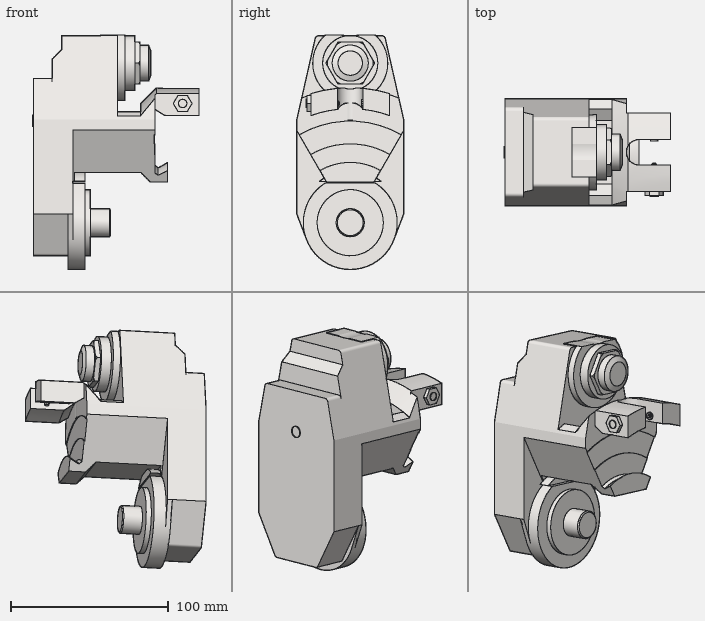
import cadquery as cq
import math


WIDTH = 68.0
HALF_WIDTH = WIDTH / 2
SHOULDER_Z = 95.0
TOP_Z = 148.4
TOP_HALF_WIDTH = 21.9
SHOULDER_SLOPE = (HALF_WIDTH - TOP_HALF_WIDTH) / (TOP_Z - SHOULDER_Z)
CORNER_RADIUS = 2.4
PLATE_TAPER_Z = 35.3
PLATE_BOTTOM_Z = 8.8
PLATE_BOTTOM_HALF_WIDTH = 18.8
UNDERSIDE_SLOPE = (HALF_WIDTH - PLATE_BOTTOM_HALF_WIDTH) / (PLATE_TAPER_Z - PLATE_BOTTOM_Z)

PLATE_FRONT_X = 25.0
PLATE_TAPER_FRONT_X = 21.9
FIRST_STEP_X = 11.9
FIRST_STEP_Z = 121.3
SECOND_STEP_X = 17.9
STEP_CHAMFER_LOW_Z = 133.5
STEP_CHAMFER_HIGH_Z = 139.6
TOWER_FRONT_X = 53.5
WEDGE_X = 68.0
FACE_X = 77.3
HEAD_EDGE_Z = 88.4
HEAD_BOTTOM_Z = 61.5

RIDGE_Y = 27.5
RIDGE_Z = 100.2
RIDGE_OUTER_Y = 34.1
RIDGE_OUTER_Z = 97.0
GAP_FLOOR_HALF_WIDTH = 20.2
GAP_FLOOR_Z = 94.8

SHAFT_Z = 29.8
LOWER_DISC_RADIUS = 29.8
LOWER_DISC_FRONT_X = 32.9
LOWER_DISC_TOP_Z = 55.0
LOWER_FLANGE_DIAMETER = 42.0
LOWER_FLANGE_FRONT_X = 36.2
SHAFT_DIAMETER = 17.9
SHAFT_END_X = 49.0
SHAFT_CHAMFER = 0.7

NECK_BOTTOM_Z = 56.0
NECK_STEP_X = 26.0
NECK_RADIUS = 32.7

WEDGE_RADIUS = 75.6
ARM_OUTER_RADIUS = 85.6
ARM_INNER_RADIUS = 72.3
ARM_UNDERCUT_RADIUS = 75.9
ARM_UNDERCUT_X = 83.4
ARM_HALF_WIDTH = 25.0
ARM_GAP_HALF_WIDTH = 8.0
ARM_END_X = 105.1
HOOK_BOTTOM_Z = 55.5
HOOK_HEEL_X = 68.2
HOOK_TOE_X = 74.1
HOOK_END_X = 85.1
HOOK_TIP_RADIUS = 38.3
HOOK_GROOVE_X = 80.0
HOOK_GROOVE_RADIUS = 35.3
HOOK_ROOT_X = 79.0
HOOK_ROOT_RADIUS = 35.0
HOOK_FACE_RADIUS = 36.5
FACE_RECESS_INNER_RADIUS = 50.0
FACE_RECESS_OUTER_RADIUS = 64.5
FACE_RECESS_DEPTH = 0.5

HEX_SIDES = 6
HEX_FLATS_TO_CORNERS = math.cos(math.pi / HEX_SIDES)

OVERLAP = 1.5

SPINDLE_Z = 131.0
SPINDLE_TOP_Z = 148.8
FLANGE_RADIUS = 23.8
FLANGE_FRONT_X = 58.0
COLLAR_DIAMETER = 35.0
COLLAR_FRONT_X = 64.5
NUT_ACROSS_FLATS = 26.8
NUT_FRONT_X = 67.7
NUT_CORNER_CHAMFER = 0.9
STUD_RADIUS = 11.5
STUD_FRONT_X = 73.1
STUD_TIP_RADIUS = 7.7
STUD_TIP_X = 74.5
PAD_BACK_X = 42.4
PAD_HALF_WIDTH = 15.8
PAD_GROOVE_HALF_WIDTH = 5.2
PAD_GROOVE_DEPTH = 0.6

BOLT_X = 94.7
BOLT_Z = 105.4
BOLT_NUT_ACROSS_FLATS = 10.3
BOLT_NUT_HEIGHT = 2.5
BOLT_DIAMETER = 5.4
BOLT_END_Y = 28.1
BOLT_TIP_DIAMETER = 3.1
BOLT_TIP_PROJECTION = 1.2
BOLT_TIP_CHAMFER = 0.7
SET_SCREW_DIAMETER = 4.8
SET_SCREW_PROJECTION = 0.9
SET_SCREW_SOCKET_CORNERS = 2.7
SET_SCREW_SOCKET_DEPTH = 1.5

PLUG_DIAMETER = 7.3
PLUG_Z = 94.5
PLUG_PROJECTION = 0.6


def shoulder_half_width(z):
    """Half width of the tapered top at height z."""
    return HALF_WIDTH - SHOULDER_SLOPE * (z - SHOULDER_Z)


def underside_half_width(z):
    """Half width of the tapered underside of the head at height z."""
    return HALF_WIDTH - UNDERSIDE_SLOPE * (HEAD_EDGE_Z - z)


def block(x0, x1, half_width, z0, z1):
    """Box symmetric about Y = 0."""
    base = cq.Workplane("XY", origin=(x0, 0, z0))
    return base.box(x1 - x0, 2 * half_width, z1 - z0, centered=(False, True, False))


def rod(x0, x1, radius, z):
    """Cylinder along X at Y = 0."""
    return cq.Workplane("YZ", origin=(x0, 0, z)).circle(radius).extrude(x1 - x0)


def extrude_section(points, x0, x1):
    """Extrude a (y, z) outline along X."""
    return cq.Workplane("YZ", origin=(x0, 0, 0)).polyline(points).close().extrude(x1 - x0)


def extrude_profile(points):
    """Extrude an (x, z) outline across the full width."""
    return cq.Workplane("XZ").polyline(points).close().extrude(HALF_WIDTH, both=True)


def mirrored(points):
    """Complete a right-hand (y, z) outline, listed bottom to top, with its left half."""
    return points + [(-y, z) for y, z in reversed(points)]


def turned(profile):
    """Revolve a closed (x, z) sketch about the lower shaft axis."""
    return profile.close().revolve(360, (0, SHAFT_Z), (1, SHAFT_Z))


def plate_layer(top_z, x0, x1):
    """Full-height slice of the body with rounded top and bottom corners."""
    outline = mirrored([
        (PLATE_BOTTOM_HALF_WIDTH, PLATE_BOTTOM_Z),
        (HALF_WIDTH, PLATE_TAPER_Z),
        (HALF_WIDTH, SHOULDER_Z),
        (shoulder_half_width(top_z), top_z),
    ])
    layer = extrude_section(outline, x0, x1)
    layer = layer.edges("|X and >Z").fillet(CORNER_RADIUS)
    return layer.edges("|X and <Z").fillet(CORNER_RADIUS)


def make_body():
    back = plate_layer(FIRST_STEP_Z, 0, FIRST_STEP_X)
    tower = plate_layer(TOP_Z, FIRST_STEP_X, TOWER_FRONT_X)
    tower_profile = extrude_profile([
        (FIRST_STEP_X, 0),
        (FIRST_STEP_X, STEP_CHAMFER_LOW_Z),
        (SECOND_STEP_X, STEP_CHAMFER_HIGH_Z),
        (SECOND_STEP_X, TOP_Z),
        (TOWER_FRONT_X, TOP_Z),
        (TOWER_FRONT_X, HEAD_EDGE_Z),
        (PLATE_FRONT_X, HEAD_EDGE_Z),
        (PLATE_FRONT_X, PLATE_TAPER_Z),
        (PLATE_TAPER_FRONT_X, PLATE_TAPER_Z),
        (PLATE_TAPER_FRONT_X, 0),
    ])
    return back.union(tower.intersect(tower_profile))


def make_head():
    head_top_z = SHAFT_Z + ARM_OUTER_RADIUS
    outline = mirrored([
        (underside_half_width(HEAD_BOTTOM_Z), HEAD_BOTTOM_Z),
        (HALF_WIDTH, HEAD_EDGE_Z),
        (HALF_WIDTH, SHOULDER_Z),
        (shoulder_half_width(head_top_z), head_top_z),
    ])
    head = extrude_section(outline, PLATE_FRONT_X, FACE_X)
    gap = extrude_section(
        mirrored([
            (GAP_FLOOR_HALF_WIDTH, GAP_FLOOR_Z),
            (RIDGE_Y, RIDGE_Z),
            (RIDGE_OUTER_Y, RIDGE_OUTER_Z),
            (RIDGE_OUTER_Y, head_top_z),
        ]),
        TOWER_FRONT_X,
        WEDGE_X,
    )
    cone = turned(
        cq.Workplane("XZ").polyline([
            (PLATE_FRONT_X, SHAFT_Z),
            (PLATE_FRONT_X, SHAFT_Z + WEDGE_RADIUS),
            (WEDGE_X, SHAFT_Z + WEDGE_RADIUS),
            (FACE_X, SHAFT_Z + WEDGE_RADIUS + FACE_X - WEDGE_X),
            (FACE_X, SHAFT_Z),
        ])
    )
    return head.cut(gap).intersect(cone)


def make_hook():
    foot = extrude_profile([
        (HOOK_HEEL_X, HEAD_BOTTOM_Z),
        (HOOK_TOE_X, HOOK_BOTTOM_Z),
        (HOOK_END_X, HOOK_BOTTOM_Z),
        (HOOK_END_X, SHAFT_Z + HOOK_TIP_RADIUS),
        (HOOK_HEEL_X, SHAFT_Z + HOOK_TIP_RADIUS),
    ])
    underside = extrude_section(
        mirrored([
            (underside_half_width(HOOK_BOTTOM_Z), HOOK_BOTTOM_Z),
            (HALF_WIDTH, HEAD_EDGE_Z),
        ]),
        HOOK_HEEL_X,
        HOOK_END_X,
    )
    return foot.intersect(underside)


def make_arms():
    cone_end_x = WEDGE_X + ARM_OUTER_RADIUS - WEDGE_RADIUS
    ring = turned(
        cq.Workplane("XZ").polyline([
            (WEDGE_X, SHAFT_Z + ARM_INNER_RADIUS),
            (WEDGE_X, SHAFT_Z + WEDGE_RADIUS),
            (cone_end_x, SHAFT_Z + ARM_OUTER_RADIUS),
            (ARM_END_X, SHAFT_Z + ARM_OUTER_RADIUS),
            (ARM_END_X, SHAFT_Z + ARM_INNER_RADIUS),
        ])
    )
    return ring.intersect(block(WEDGE_X, ARM_END_X, ARM_HALF_WIDTH, SHOULDER_Z, TOP_Z))


def make_coupling_channel():
    """Turned dovetail channel between the hook and the arms."""
    profile = (
        cq.Workplane("XZ")
        .moveTo(FACE_X, SHAFT_Z + HOOK_FACE_RADIUS)
        .lineTo(HOOK_ROOT_X, SHAFT_Z + HOOK_ROOT_RADIUS)
        .lineTo(HOOK_GROOVE_X, SHAFT_Z + HOOK_GROOVE_RADIUS)
        .lineTo(HOOK_END_X, SHAFT_Z + HOOK_TIP_RADIUS)
        .lineTo(ARM_END_X, SHAFT_Z + HOOK_TIP_RADIUS)
        .lineTo(ARM_END_X, SHAFT_Z + ARM_INNER_RADIUS)
        .lineTo(ARM_UNDERCUT_X, SHAFT_Z + ARM_INNER_RADIUS)
        .lineTo(FACE_X, SHAFT_Z + ARM_UNDERCUT_RADIUS)
    )
    return turned(profile)


def make_face_recess():
    outer = rod(FACE_X - FACE_RECESS_DEPTH, FACE_X, FACE_RECESS_OUTER_RADIUS, SHAFT_Z)
    return outer.cut(rod(FACE_X - FACE_RECESS_DEPTH, FACE_X, FACE_RECESS_INNER_RADIUS, SHAFT_Z))


def make_arm_gap():
    """U-shaped gap between the two arms."""
    gap = block(HOOK_END_X, ARM_END_X, ARM_GAP_HALF_WIDTH, SHOULDER_Z, TOP_Z)
    round_end = (
        cq.Workplane("XY", origin=(HOOK_END_X, 0, SHOULDER_Z))
        .circle(ARM_GAP_HALF_WIDTH)
        .extrude(TOP_Z - SHOULDER_Z)
    )
    return gap.union(round_end)


def make_lower_shaft():
    disc = rod(PLATE_TAPER_FRONT_X, LOWER_DISC_FRONT_X, LOWER_DISC_RADIUS, SHAFT_Z)
    disc = disc.intersect(block(0, LOWER_DISC_FRONT_X, HALF_WIDTH, 0, LOWER_DISC_TOP_Z))

    corner_height = PLATE_TAPER_Z - SHAFT_Z
    corner_distance = math.hypot(HALF_WIDTH, corner_height)
    tangent_angle = math.atan2(corner_height, HALF_WIDTH) - math.acos(LOWER_DISC_RADIUS / corner_distance)
    tangent_y = LOWER_DISC_RADIUS * math.cos(tangent_angle)
    tangent_z = SHAFT_Z + LOWER_DISC_RADIUS * math.sin(tangent_angle)
    cheeks = extrude_section(
        mirrored([(tangent_y, tangent_z), (HALF_WIDTH, PLATE_TAPER_Z)]),
        PLATE_TAPER_FRONT_X,
        PLATE_FRONT_X,
    )

    flange = rod(PLATE_FRONT_X, LOWER_FLANGE_FRONT_X, LOWER_FLANGE_DIAMETER / 2, SHAFT_Z)
    shaft = rod(PLATE_FRONT_X, SHAFT_END_X, SHAFT_DIAMETER / 2, SHAFT_Z).faces(">X").chamfer(SHAFT_CHAMFER)
    return disc.union(cheeks).union(flange).union(shaft)


def make_neck():
    rib = extrude_section(
        mirrored([
            (underside_half_width(NECK_BOTTOM_Z), NECK_BOTTOM_Z),
            (underside_half_width(HEAD_BOTTOM_Z), HEAD_BOTTOM_Z),
        ]),
        PLATE_FRONT_X,
        NECK_STEP_X,
    )
    round_part = rod(NECK_STEP_X, LOWER_DISC_FRONT_X, NECK_RADIUS, SHAFT_Z)
    return rib.union(round_part.intersect(block(0, FACE_X, HALF_WIDTH, NECK_BOTTOM_Z, HEAD_BOTTOM_Z + OVERLAP)))


def make_spindle():
    flange = rod(TOWER_FRONT_X, FLANGE_FRONT_X, FLANGE_RADIUS, SPINDLE_Z)
    flange = flange.intersect(block(0, FLANGE_FRONT_X, HALF_WIDTH, 0, SPINDLE_TOP_Z))
    collar = rod(FLANGE_FRONT_X, COLLAR_FRONT_X, COLLAR_DIAMETER / 2, SPINDLE_Z)
    nut_corners = NUT_ACROSS_FLATS / HEX_FLATS_TO_CORNERS
    nut = (
        cq.Workplane("YZ", origin=(COLLAR_FRONT_X, 0, SPINDLE_Z))
        .polygon(HEX_SIDES, nut_corners)
        .extrude(NUT_FRONT_X - COLLAR_FRONT_X)
    )
    nut_envelope = rod(COLLAR_FRONT_X, NUT_FRONT_X, nut_corners / 2, SPINDLE_Z)
    nut = nut.intersect(nut_envelope.faces(">X").chamfer(NUT_CORNER_CHAMFER))
    stud = rod(NUT_FRONT_X, STUD_TIP_X, STUD_RADIUS, SPINDLE_Z)
    stud = stud.faces(">X").chamfer(STUD_TIP_X - STUD_FRONT_X, STUD_RADIUS - STUD_TIP_RADIUS)
    return flange.union(collar).union(nut).union(stud)


def make_top_pad():
    return block(PAD_BACK_X, FLANGE_FRONT_X, PAD_HALF_WIDTH, SPINDLE_TOP_Z - OVERLAP, SPINDLE_TOP_Z)


def make_pad_groove():
    """Shallow round groove along the middle of the top pad."""
    return (
        cq.Workplane("YZ", origin=(PAD_BACK_X, 0, 0))
        .moveTo(-PAD_GROOVE_HALF_WIDTH, SPINDLE_TOP_Z)
        .threePointArc((0, SPINDLE_TOP_Z - PAD_GROOVE_DEPTH), (PAD_GROOVE_HALF_WIDTH, SPINDLE_TOP_Z))
        .close()
        .extrude(FLANGE_FRONT_X - PAD_BACK_X)
    )


def cross_plane(y):
    """Workplane on the bolt axis at the given Y, extruding toward -Y."""
    return cq.Workplane("XZ", origin=(BOLT_X, y, BOLT_Z))


def make_clamp_bolt():
    nut = (
        cross_plane(-ARM_HALF_WIDTH)
        .polygon(HEX_SIDES, BOLT_NUT_ACROSS_FLATS / HEX_FLATS_TO_CORNERS)
        .extrude(BOLT_NUT_HEIGHT)
    )
    bolt = cross_plane(-ARM_HALF_WIDTH).circle(BOLT_DIAMETER / 2).extrude(BOLT_END_Y - ARM_HALF_WIDTH)
    tip_y = -ARM_GAP_HALF_WIDTH + BOLT_TIP_PROJECTION
    tip = cross_plane(tip_y).circle(BOLT_TIP_DIAMETER / 2).extrude(ARM_HALF_WIDTH + tip_y)
    tip = tip.faces(">Y").chamfer(BOLT_TIP_CHAMFER)
    return nut.union(bolt).union(tip)


def make_set_screw():
    """End of a screw that stands out of the inner side of the +Y arm."""
    end_y = ARM_GAP_HALF_WIDTH - SET_SCREW_PROJECTION
    return cross_plane(ARM_HALF_WIDTH).circle(SET_SCREW_DIAMETER / 2).extrude(ARM_HALF_WIDTH - end_y)


def make_set_screw_socket():
    """Hexagon socket in the end of the set screw."""
    end_y = ARM_GAP_HALF_WIDTH - SET_SCREW_PROJECTION
    socket = cross_plane(end_y + SET_SCREW_SOCKET_DEPTH).polygon(HEX_SIDES, SET_SCREW_SOCKET_CORNERS)
    return socket.extrude(SET_SCREW_SOCKET_DEPTH)


def make_plug():
    return rod(-PLUG_PROJECTION, FIRST_STEP_X, PLUG_DIAMETER / 2, PLUG_Z)


result = make_body().union(make_head()).union(make_hook()).union(make_arms())
result = result.cut(make_coupling_channel()).cut(make_face_recess()).cut(make_arm_gap())
result = result.union(make_neck()).union(make_lower_shaft())
result = result.union(make_spindle()).union(make_top_pad()).cut(make_pad_groove())
result = result.union(make_clamp_bolt())
result = result.union(make_set_screw()).cut(make_set_screw_socket())
result = result.union(make_plug())